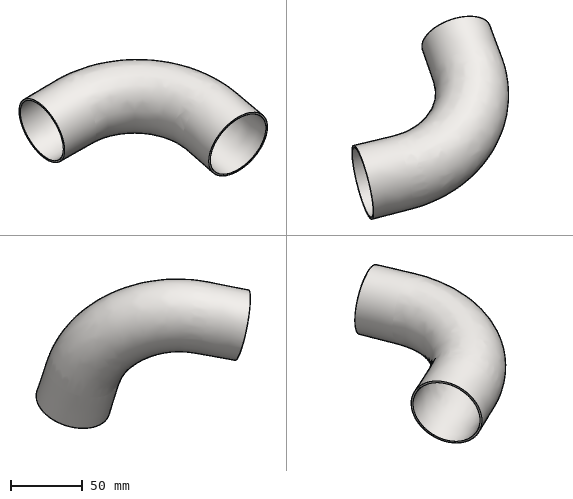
import cadquery as cq
import math

small_diameter = 50.0
large_diameter = 53.0
wall = 1.5
bend_radius = 68.4
centre_reach = 96.9
straight_length = centre_reach - bend_radius
bend_steps = 8

bend_length = bend_radius * math.pi / 2
path_length = bend_length + 2 * straight_length


def section(centre, direction, distance, inset):
    """Circle across the pipe at a distance along its centreline, inset from the outer surface."""
    diameter = small_diameter + (large_diameter - small_diameter) * distance / path_length
    plane = cq.Plane(origin=centre, xDir=(0, 0, 1), normal=direction)
    return cq.Workplane(plane).circle(diameter / 2 - inset).wires().val()


def bend_section(step, inset):
    """Circle across the bend, whose centre is the origin; step 0 is its small end."""
    angle = math.pi / 2 * step / bend_steps
    centre = (-bend_radius * math.cos(angle), bend_radius * math.sin(angle), 0)
    direction = (math.sin(angle), math.cos(angle), 0)
    distance = straight_length + bend_length * step / bend_steps
    return section(centre, direction, distance, inset)


def tapered_elbow(inset):
    """Solid elbow whose surface lies inset below the outer surface of the pipe."""
    small_end = section((-bend_radius, -straight_length, 0), (0, 1, 0), 0, inset)
    large_end = section((straight_length, bend_radius, 0), (1, 0, 0), path_length, inset)
    bend_sections = [bend_section(step, inset) for step in range(bend_steps + 1)]
    small_run = cq.Solid.makeLoft([small_end, bend_sections[0]], True)
    bend = cq.Solid.makeLoft(bend_sections)
    large_run = cq.Solid.makeLoft([bend_sections[-1], large_end], True)
    return cq.Workplane(small_run).union(cq.Workplane(bend)).union(cq.Workplane(large_run))


result = tapered_elbow(0).cut(tapered_elbow(wall))